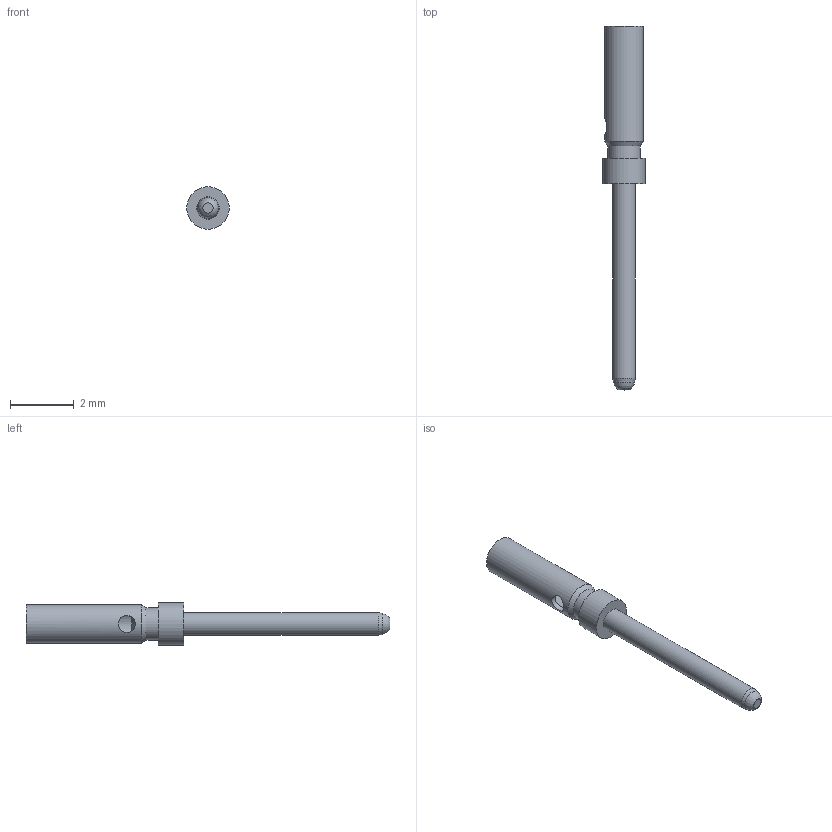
import cadquery as cq
import math


barrel_diameter = 1.2
neck_diameter = 1.02
collar_diameter = 1.33
pin_diameter = 0.71
tip_base_diameter = 0.65
tip_flat_diameter = 0.32
bore_diameter = 0.9
inspection_hole_diameter = 0.53

total_length = 11.38
barrel_length = 3.6
barrel_taper_length = 0.15
neck_length = 0.385
collar_length = 0.79
tip_taper_length = 0.13
tip_round_length = 0.23
bore_depth = 3.3
inspection_hole_distance = 3.15

bore_point_angle = 118
tip_bulge = 0.035

barrel_end = total_length / 2
barrel_taper_start = barrel_end - barrel_length
neck_start = barrel_taper_start - barrel_taper_length
collar_start = neck_start - neck_length
pin_start = collar_start - collar_length
tip_end = -total_length / 2
tip_round_start = tip_end + tip_round_length
tip_taper_start = tip_round_start + tip_taper_length


def revolve_about_y(profile):
    """Turn a closed half profile, drawn in XY, a full revolution about Y."""
    return profile.close().revolve(360, (0, 0, 0), (0, 1, 0))


def make_turned_body():
    """Solid outside shape: barrel, neck, collar and pin with its rounded tip."""
    barrel_radius = barrel_diameter / 2
    neck_radius = neck_diameter / 2
    collar_radius = collar_diameter / 2
    pin_radius = pin_diameter / 2
    tip_base_radius = tip_base_diameter / 2
    tip_flat_radius = tip_flat_diameter / 2

    chord_x = tip_base_radius - tip_flat_radius
    chord = math.hypot(chord_x, tip_round_length)
    tip_arc_middle = (
        (tip_base_radius + tip_flat_radius) / 2 + tip_bulge * tip_round_length / chord,
        (tip_round_start + tip_end) / 2 - tip_bulge * chord_x / chord,
    )

    profile = (
        cq.Workplane("XY")
        .moveTo(0, barrel_end)
        .lineTo(barrel_radius, barrel_end)
        .lineTo(barrel_radius, barrel_taper_start)
        .lineTo(neck_radius, neck_start)
        .lineTo(neck_radius, collar_start)
        .lineTo(collar_radius, collar_start)
        .lineTo(collar_radius, pin_start)
        .lineTo(pin_radius, pin_start)
        .lineTo(pin_radius, tip_taper_start)
        .lineTo(tip_base_radius, tip_round_start)
        .threePointArc(tip_arc_middle, (tip_flat_radius, tip_end))
        .lineTo(0, tip_end)
    )
    return revolve_about_y(profile)


def make_wire_bore():
    """Drilled wire bore, open at the barrel end, with a conical bottom."""
    bore_radius = bore_diameter / 2
    point_length = bore_radius / math.tan(math.radians(bore_point_angle / 2))
    bore_bottom = barrel_end - bore_depth
    profile = (
        cq.Workplane("XY")
        .moveTo(0, barrel_end)
        .lineTo(bore_radius, barrel_end)
        .lineTo(bore_radius, bore_bottom)
        .lineTo(0, bore_bottom - point_length)
    )
    return revolve_about_y(profile)


def make_inspection_hole():
    """Cross hole from the -X side to the bore axis, through one wall only."""
    return (
        cq.Workplane("YZ")
        .center(barrel_end - inspection_hole_distance, 0)
        .circle(inspection_hole_diameter / 2)
        .extrude(-barrel_diameter)
    )


result = make_turned_body().cut(make_wire_bore()).cut(make_inspection_hole())